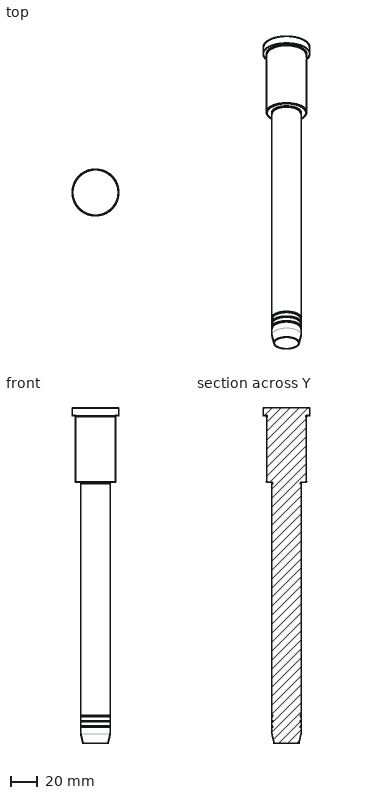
import cadquery as cq

total_length = 251.0
head_diameter = 35.0
head_height = 6.0
head_chamfer = 0.5
collar_diameter = 30.0
collar_end_depth = 56.0
collar_chamfer = 0.5
shaft_diameter = 22.0
tip_length = 7.0
tip_diameter = 18.8
tip_edge_chamfer = 0.3

groove_depth = 0.5
groove_width = 1.0
groove_count = 3
groove_pitch = 4.0
lowest_groove_height = 12.0

top = total_length / 2
bottom = -total_length / 2
head_underside = top - head_height
collar_end = top - collar_end_depth


def cylinder(diameter, low, high):
    return cq.Workplane("XY").workplane(offset=low).circle(diameter / 2).extrude(high - low)


def ring_groove(diameter, low):
    """V-section ring to remove from a cylinder of the given diameter."""
    radius = diameter / 2
    profile = (
        cq.Workplane("XZ")
        .moveTo(radius, low)
        .lineTo(radius - groove_depth, low + groove_width / 2)
        .lineTo(radius, low + groove_width)
        .close()
    )
    return profile.revolve(360, (0, 0, 0), (0, 1, 0))


def tapered_tip():
    shaft_radius = shaft_diameter / 2
    tip_radius = tip_diameter / 2
    profile = (
        cq.Workplane("XZ")
        .moveTo(0, bottom)
        .lineTo(tip_radius, bottom)
        .lineTo(shaft_radius, bottom + tip_length)
        .lineTo(0, bottom + tip_length)
        .close()
    )
    return profile.revolve(360, (0, 0, 0), (0, 1, 0)).faces("<Z").chamfer(tip_edge_chamfer)


head = cylinder(head_diameter, head_underside, top).faces(">Z").chamfer(head_chamfer)
collar = cylinder(collar_diameter, collar_end, head_underside).faces("<Z").chamfer(collar_chamfer)
shaft = cylinder(shaft_diameter, bottom + tip_length, collar_end)

result = head.union(collar).union(shaft).union(tapered_tip())

result = result.cut(ring_groove(collar_diameter, head_underside - groove_width))
result = result.cut(ring_groove(shaft_diameter, collar_end - groove_width))
for index in range(groove_count):
    groove_low = bottom + lowest_groove_height + index * groove_pitch
    result = result.cut(ring_groove(shaft_diameter, groove_low))